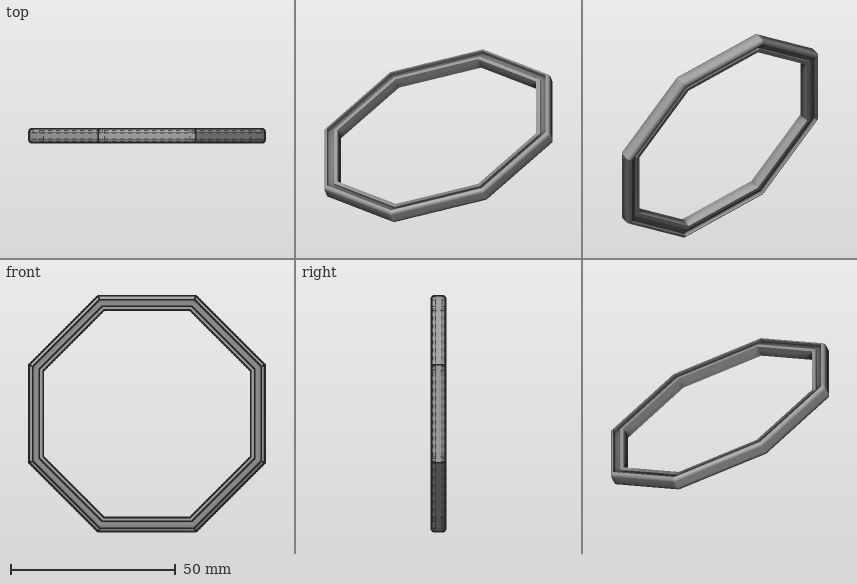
import cadquery as cq
import math

across_flats = 71.6
depth = 4.4
edge_radius = 1.15
groove_inset = edge_radius
groove_depth = 1.2
lip_inset = 3.15
lip_recess = 0.5
bore_inset = 4.4

SIDES = 8


def octagon(inset, length):
    """Octagonal prism centred on the origin, its sides moved in by inset."""
    circumscribed = (across_flats - 2 * inset) / math.cos(math.pi / SIDES)
    return (
        cq.Workplane("XZ")
        .transformed(rotate=(0, 0, 180 / SIDES))
        .polygon(SIDES, circumscribed)
        .extrude(length / 2, both=True)
    )


rim = octagon(0, depth).faces("<Y or >Y").edges().fillet(edge_radius)
rim = rim.cut(octagon(groove_inset, depth))

web = octagon(groove_inset, depth - 2 * groove_depth)

lip = octagon(lip_inset, depth - 2 * lip_recess)

result = rim.union(web).union(lip).cut(octagon(bore_inset, depth))